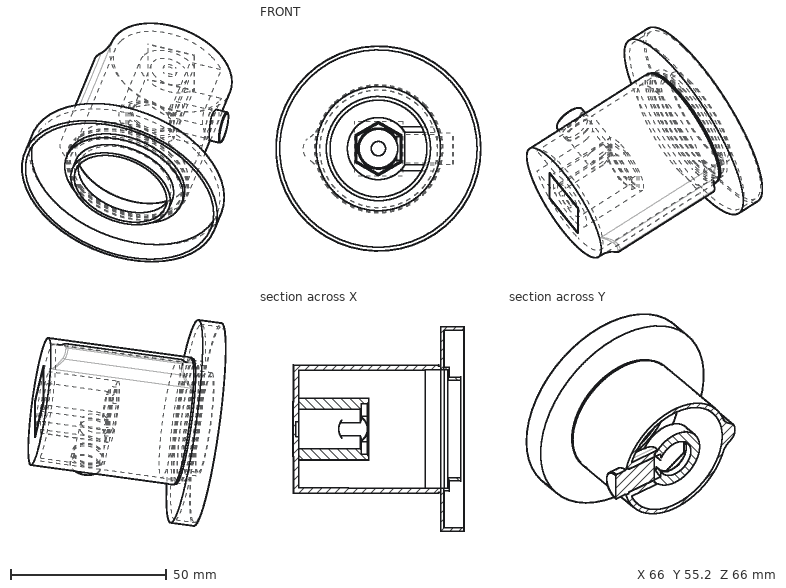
import cadquery as cq
import math


FLANGE_DIA = 66.0
FLANGE_INNER_DIA = 63.55
FLANGE_DEPTH = 7.6
CUP_DEPTH = 6.5

COLLAR_DIA = 33.6
COLLAR_BORE = 31.2
COLLAR_FRONT = 1.05
COLLAR_BORE_END = 5.3
RING_DIA = 40.0
RING_FRONT = 4.75

SLEEVE_DIA = 41.4
SLEEVE_BORE = 37.8
SLEEVE_FRONT = 8.25
SLEEVE_BACK = 55.0
NECK_DIA = 40.8
MOUTH_BORE = 38.0
MOUTH_BORE_END = 12.55
WALL = (SLEEVE_DIA - SLEEVE_BORE) / 2
FLOOR = SLEEVE_BACK - WALL
CENTRE_HOLE_DIA = 4.6
CENTRE_HOLE_DEPTH = 1.0
REAR_PAD_WIDTH = 15.65
REAR_PAD_HEIGHT = 17.5
REAR_PAD_THICKNESS = 0.2

RIB_TOP = 24.3
RIB_TOP_HALF_WIDTH = 0.2
RIB_SHOULDER_RADIUS = 22.3
RIB_SHOULDER_HALF_WIDTH = 3.6
RIB_BASE_HALF_WIDTH = 6.35
RIB_END_LENGTH = 4.3
RIB_END_ROUND = 0.65

PIN_DIA = 10.2
PIN_SHANK_DIA = 9.25
PIN_Y = 35.8
PIN_END = 24.0
PIN_CHAMFER = 0.25
PIN_HOLE_END = 5.9
BOSS_DIA = 14.5
BOSS_WIDTH = 14.2
BOSS_FRONT = 30.7

HUB_DIA = 20.0
HUB_FRONT = BOSS_FRONT
HUB_FLAT = 8.45
HEX_FLATS = 14.05
HEX_MOUTH_FLATS = 15.05
HEX_FLOOR = 33.1
HUB_BORE_DIA = 12.5
HUB_BORE_MOUTH_DIA = 13.2


def cylinder_y(diameter, front, back):
    """Cylinder on the Y axis between two Y positions."""
    return cq.Workplane("XZ", origin=(0, front, 0)).circle(diameter / 2).extrude(front - back)


def cylinder_x(diameter, start, end):
    """Cylinder along X on the pin's centre line."""
    return cq.Workplane("YZ", origin=(start, PIN_Y, 0)).circle(diameter / 2).extrude(end - start)


def make_pin_blank():
    """Pin before chamfering: a shank inside the boss and a head in the sleeve wall."""
    shank = cylinder_x(PIN_SHANK_DIA, HUB_FLAT, SLEEVE_BORE / 2)
    return shank.union(cylinder_x(PIN_DIA, SLEEVE_BORE / 2, PIN_END))


def make_flange():
    cup = cylinder_y(FLANGE_DIA, 0, FLANGE_DEPTH).cut(cylinder_y(FLANGE_INNER_DIA, 0, CUP_DEPTH))
    return cup.cut(cylinder_y(MOUTH_BORE, CUP_DEPTH, FLANGE_DEPTH))


def make_collar():
    tube = cylinder_y(COLLAR_DIA, COLLAR_FRONT, COLLAR_BORE_END)
    ring = cylinder_y(RING_DIA, RING_FRONT, CUP_DEPTH)
    body = tube.union(ring).cut(cylinder_y(COLLAR_BORE, COLLAR_FRONT, COLLAR_BORE_END))
    return body.cut(cylinder_y(MOUTH_BORE, COLLAR_BORE_END, CUP_DEPTH))


def rib_section():
    """Rib cross-section swept over the sleeve length: concave flanks and a rounded crest."""
    base_x = -math.sqrt((SLEEVE_DIA / 2) ** 2 - RIB_BASE_HALF_WIDTH**2)
    crest = (-RIB_TOP, RIB_TOP_HALF_WIDTH)
    shoulder = (-RIB_SHOULDER_RADIUS, RIB_SHOULDER_HALF_WIDTH)
    base = (base_x, RIB_BASE_HALF_WIDTH)

    rise = RIB_TOP - RIB_SHOULDER_RADIUS
    run = RIB_SHOULDER_HALF_WIDTH - RIB_TOP_HALF_WIDTH
    crest_radius = (rise**2 + run**2) / (2 * rise)
    slope = math.asin(run / crest_radius)
    crest_middle = (
        -RIB_TOP + crest_radius * (1 - math.cos(slope / 2)),
        RIB_TOP_HALF_WIDTH + crest_radius * math.sin(slope / 2),
    )

    chord_x = base[0] - shoulder[0]
    chord_z = base[1] - shoulder[1]
    chord = math.hypot(chord_x, chord_z)
    half_turn = slope - math.atan2(chord_x, chord_z)
    sag = chord / 2 * math.tan(half_turn / 2)
    flank_middle = (
        (shoulder[0] + base[0]) / 2 + sag * chord_z / chord,
        (shoulder[1] + base[1]) / 2 - sag * chord_x / chord,
    )

    def mirrored(point):
        return (point[0], -point[1])

    return (
        cq.Workplane("XZ", origin=(0, SLEEVE_FRONT, 0))
        .moveTo(*crest)
        .threePointArc(crest_middle, shoulder)
        .threePointArc(flank_middle, base)
        .lineTo(*mirrored(base))
        .threePointArc(mirrored(flank_middle), mirrored(shoulder))
        .threePointArc(mirrored(crest_middle), mirrored(crest))
        .close()
        .extrude(SLEEVE_FRONT - SLEEVE_BACK)
    )


def rib_ends():
    """Turned blank that trims the rib: each end sweeps up from the sleeve to the crest."""
    foot = -SLEEVE_DIA / 2
    rise = RIB_TOP - SLEEVE_DIA / 2
    radius = (rise**2 + RIB_END_LENGTH**2) / (2 * rise)
    half_turn = math.asin(RIB_END_LENGTH / radius) / 2
    middle_x = foot - radius * (1 - math.cos(half_turn))
    middle_y = radius * math.sin(half_turn)
    return (
        cq.Workplane("XY")
        .moveTo(0, SLEEVE_FRONT)
        .lineTo(foot, SLEEVE_FRONT)
        .threePointArc((middle_x, SLEEVE_FRONT + middle_y), (-RIB_TOP, SLEEVE_FRONT + RIB_END_LENGTH))
        .lineTo(-RIB_TOP, SLEEVE_BACK - RIB_END_LENGTH)
        .threePointArc((middle_x, SLEEVE_BACK - middle_y), (foot, SLEEVE_BACK))
        .lineTo(0, SLEEVE_BACK)
        .close()
        .revolve(360, (0, 0), (0, 1))
    )


def make_boss():
    """Boss from the hub into the sleeve wall: flat front, rounded shoulders, flat sides to the floor."""
    start = math.sqrt(HUB_DIA**2 - BOSS_DIA**2) / 2
    end = SLEEVE_DIA / 2
    middle = (start + end) / 2
    block = cq.Workplane("XY").box(end - start, FLOOR - BOSS_FRONT, BOSS_WIDTH)
    block = block.translate((middle, (BOSS_FRONT + FLOOR) / 2, 0))
    base = cq.Workplane("XY").box(end - start, FLOOR - PIN_Y, BOSS_WIDTH)
    base = base.translate((middle, (PIN_Y + FLOOR) / 2, 0))
    boss = cylinder_x(BOSS_DIA, start, end).union(base).intersect(block)

    boss = boss.intersect(cylinder_y(SLEEVE_BORE + WALL, BOSS_FRONT, FLOOR))
    return boss.cut(hub_blank())


def make_rib():
    """Rib with its end edges rounded along the crest."""
    rib = rib_section().intersect(rib_ends())
    crest_ends = [
        edge
        for edge in rib.edges().vals()
        if edge.BoundingBox().xmax < -RIB_SHOULDER_RADIUS + 0.05
        and edge.BoundingBox().ylen < RIB_END_LENGTH
    ]
    return rib.newObject(crest_ends).fillet(RIB_END_ROUND)


def make_sleeve():
    body = cylinder_y(SLEEVE_DIA, SLEEVE_FRONT, SLEEVE_BACK)
    body = body.union(make_rib())

    body = body.union(cylinder_y(NECK_DIA, FLANGE_DEPTH, SLEEVE_FRONT))
    body = body.cut(cylinder_y(MOUTH_BORE, FLANGE_DEPTH, MOUTH_BORE_END))
    body = body.cut(cylinder_y(SLEEVE_BORE, MOUTH_BORE_END, FLOOR))

    body = body.union(make_boss(), clean=False)
    body = body.cut(make_pin_blank())

    body = body.cut(cylinder_y(CENTRE_HOLE_DIA, FLOOR, FLOOR + CENTRE_HOLE_DEPTH))
    rear_pad = cq.Workplane("XZ", origin=(0, SLEEVE_BACK, 0)).rect(REAR_PAD_WIDTH, REAR_PAD_HEIGHT)
    return body.union(rear_pad.extrude(-REAR_PAD_THICKNESS), clean=False)


def hub_blank():
    """Hub cylinder with the flat on its +X side."""
    blank = cylinder_y(HUB_DIA, HUB_FRONT, FLOOR)
    keep = cq.Workplane("XY").box(HUB_DIA, SLEEVE_BACK, HUB_DIA, centered=(True, False, True))
    return blank.intersect(keep.translate((HUB_FLAT - HUB_DIA / 2, 0, 0)))


def hexagon(flats, y):
    """Hexagon wire with two corners above and below the Y axis."""
    corner_radius = flats / math.sqrt(3)
    angles = [math.radians(30 + 60 * i) for i in range(6)]
    corners = [cq.Vector(corner_radius * math.cos(a), y, corner_radius * math.sin(a)) for a in angles]
    return cq.Wire.makePolygon(corners, close=True)


def hex_socket():
    """Hexagonal socket with a 45 degree chamfer at its mouth."""
    chamfer_end = HUB_FRONT + (HEX_MOUTH_FLATS - HEX_FLATS) / 2
    mouth = [hexagon(HEX_MOUTH_FLATS, HUB_FRONT), hexagon(HEX_FLATS, chamfer_end)]
    walls = [hexagon(HEX_FLATS, chamfer_end), hexagon(HEX_FLATS, HEX_FLOOR)]
    mouth_solid = cq.Workplane(cq.Solid.makeLoft(mouth, True))
    walls_solid = cq.Workplane(cq.Solid.makeLoft(walls, True))
    return mouth_solid.union(walls_solid)


def make_hub():
    hub = hub_blank().cut(hex_socket()).cut(cylinder_y(HUB_BORE_DIA, HEX_FLOOR, FLOOR))

    chamfer = (HUB_BORE_MOUTH_DIA - HUB_BORE_DIA) / 2
    bore_mouth = cq.Solid.makeCone(
        HUB_BORE_MOUTH_DIA / 2,
        HUB_BORE_DIA / 2,
        chamfer,
        cq.Vector(0, HEX_FLOOR, 0),
        cq.Vector(0, 1, 0),
    )
    hub = hub.cut(cq.Workplane(bore_mouth))

    return hub.cut(cylinder_x(PIN_SHANK_DIA, PIN_HOLE_END, HUB_FLAT))


def make_pin():
    return make_pin_blank().faces(">X").chamfer(PIN_CHAMFER)


flange = make_flange()
collar = make_collar()
sleeve = make_sleeve()
hub = make_hub()
pin = make_pin()

result = cq.Compound.makeCompound(
    [flange.val(), collar.val(), sleeve.val(), hub.val(), pin.val()]
)